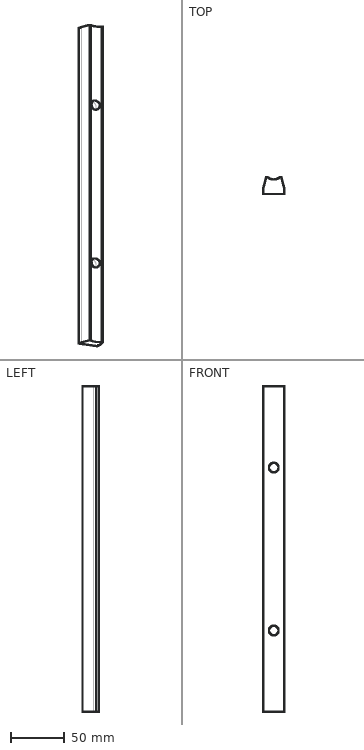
import cadquery as cq
import math

length = 304.8
base_width = 19.8
depth = 16.0

flank_height = 5.5
flank_lean = 15.0
crest_inner_width = 11.5
groove_depth = 2.0

line_height = flank_height / 2
line_radius = 0.3

hole_diameter = 8.8
hole_spacing = length / 2

base_y = -depth / 2
crest_y = depth / 2
flank_y = base_y + flank_height
flank_run = (crest_y - flank_y) * math.tan(math.radians(flank_lean))
crest_outer_width = base_width - 2 * flank_run


def make_bar():
    """Extrude the section, with its shallow round groove, along Z."""
    return (
        cq.Workplane("XY")
        .workplane(offset=-length / 2)
        .moveTo(-base_width / 2, base_y)
        .lineTo(base_width / 2, base_y)
        .lineTo(base_width / 2, flank_y)
        .lineTo(crest_outer_width / 2, crest_y)
        .lineTo(crest_inner_width / 2, crest_y)
        .threePointArc((0, crest_y - groove_depth), (-crest_inner_width / 2, crest_y))
        .lineTo(-crest_outer_width / 2, crest_y)
        .lineTo(-base_width / 2, flank_y)
        .close()
        .extrude(length)
    )


def make_hole_cutters():
    """Cylinders that pass from the base to the groove."""
    return (
        cq.Workplane("XZ")
        .pushPoints([(0, -hole_spacing / 2), (0, hole_spacing / 2)])
        .circle(hole_diameter / 2)
        .extrude(depth, both=True)
    )


def make_line_cutter():
    """A rod centred on the -X flank, leaving a half-round line."""
    return (
        cq.Workplane("XY")
        .center(-base_width / 2, base_y + line_height)
        .circle(line_radius)
        .extrude(length, both=True)
    )


result = make_bar().cut(make_hole_cutters()).cut(make_line_cutter())